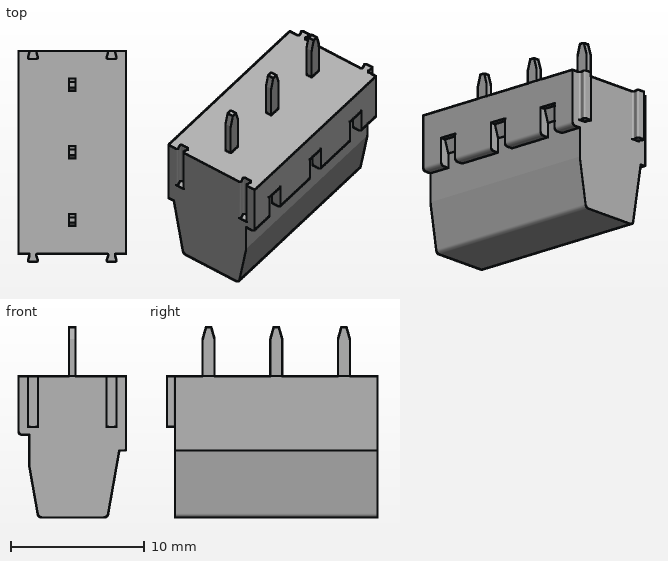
import cadquery as cq
import math

pole_count = 3
housing_width = 8.1
housing_height = 10.61
housing_length = 15.24
pole_pitch = housing_length / pole_count
total_length = 15.84
left_x = -housing_width / 2
right_x = housing_width / 2
pole_centres = [(i + 0.5) * pole_pitch for i in range(pole_count)]

left_lip_overhang = 0.8
left_lip_height = 4.4
left_lip_radius = 0.27
right_lip_overhang = 0.5
right_lip_height = 5.59
right_lip_radius = 0.1
left_wall_end = 6.73
side_taper_angle = 10.0
bottom_edge_radius = 0.33

rail_inset = 1.1
rail_depth = total_length - housing_length
rail_height = 3.8
rail_root_width = 0.45
rail_tip_width = 0.82
rail_edge_radius = 0.11
rail_centres = [left_x + rail_inset, right_x - rail_inset]

notch_width = 1.43
notch_top = 2.23
notch_slope_end = 3.26
notch_slope_angle = 19.0

pin_height = 3.69
pin_thickness = 0.49
pin_width = 0.92
pin_tip_width = 0.4
pin_tip_height = 0.92


left_wall_x = left_x + left_lip_overhang


def round_edge(body, point, radius):
    """Fillet the edge whose middle is nearest to the point."""
    return body.edges(cq.selectors.NearestToPointSelector(point)).fillet(radius)


def make_housing():
    """Block with a lip on each long side and walls tapering to the bottom."""
    taper = math.tan(math.radians(side_taper_angle))
    right_wall_x = right_x - right_lip_overhang
    bottom_left_x = left_wall_x + taper * (housing_height - left_wall_end)
    bottom_right_x = right_wall_x - taper * (housing_height - right_lip_height)
    outline = [
        (left_x, 0),
        (right_x, 0),
        (right_x, -right_lip_height),
        (right_wall_x, -right_lip_height),
        (bottom_right_x, -housing_height),
        (bottom_left_x, -housing_height),
        (left_wall_x, -left_wall_end),
        (left_wall_x, -left_lip_height),
        (left_x, -left_lip_height),
    ]
    body = cq.Workplane("XZ").polyline(outline).close().extrude(-housing_length)
    rounded_edges = [
        (left_x, -left_lip_height, left_lip_radius),
        (right_x, -right_lip_height, right_lip_radius),
        (bottom_left_x, -housing_height, bottom_edge_radius),
        (bottom_right_x, -housing_height, bottom_edge_radius),
    ]
    for x, z, radius in rounded_edges:
        body = round_edge(body, (x, housing_length / 2, z), radius)
    return body


def make_pin(centre_y):
    """Flat pin standing on the top face, tapered across Y at its tip."""
    shoulder = pin_height - pin_tip_height
    outline = [
        (centre_y - pin_width / 2, 0),
        (centre_y + pin_width / 2, 0),
        (centre_y + pin_width / 2, shoulder),
        (centre_y + pin_tip_width / 2, pin_height),
        (centre_y - pin_tip_width / 2, pin_height),
        (centre_y - pin_width / 2, shoulder),
    ]
    return cq.Workplane("YZ").polyline(outline).close().extrude(pin_thickness / 2, both=True)


def make_rail(centre_x, face_y):
    """Vertical dovetail, narrow at face_y, widening toward -Y, with rounded root and tip edges."""
    slab_width = 2 * rail_tip_width
    slab_thickness = 0.16
    slab = (
        cq.Workplane("XY")
        .box(slab_width, slab_thickness, rail_height, centered=(True, False, False))
        .translate((centre_x, face_y, -rail_height))
    )
    left_root = (centre_x - rail_root_width / 2, face_y)
    left_tip = (centre_x - rail_tip_width / 2, face_y - rail_depth)
    right_tip = (centre_x + rail_tip_width / 2, face_y - rail_depth)
    right_root = (centre_x + rail_root_width / 2, face_y)
    corners = [left_root, left_tip, right_tip, right_root]
    rail = cq.Workplane("XY").polyline(corners).close().extrude(-rail_height).union(slab)
    for x, y in corners:
        rail = round_edge(rail, (x, y, -rail_height / 2), rail_edge_radius)
    return rail.cut(slab)


def make_notch(centre_y):
    """Cutter for one lip notch: the wall below, then a slope leaning outward up to the flat ceiling."""
    slope_lean = (notch_slope_end - notch_top) * math.tan(math.radians(notch_slope_angle))
    ceiling_x = left_wall_x - slope_lean
    outline = [
        (left_x, -notch_top),
        (ceiling_x, -notch_top),
        (left_wall_x, -notch_slope_end),
        (left_wall_x, -left_lip_height),
        (left_x, -left_lip_height),
    ]
    cutter = cq.Workplane("XZ").polyline(outline).close().extrude(notch_width / 2, both=True)
    return cutter.translate((0, centre_y, 0))


result = make_housing()
for rail_x in rail_centres:
    result = result.union(make_rail(rail_x, 0))
    result = result.cut(make_rail(rail_x, housing_length))
for pole_y in pole_centres:
    result = result.cut(make_notch(pole_y))
    result = result.union(make_pin(pole_y))